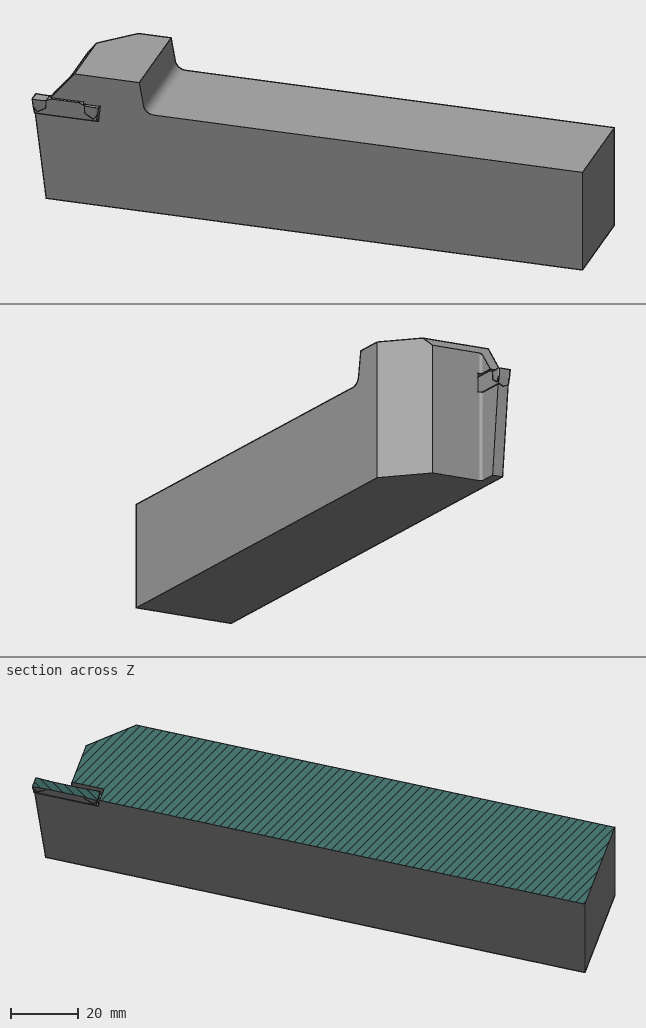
import cadquery as cq
import math

shank_size = 32.0
total_length = 170.0
head_top = 42.0
front_clearance = math.radians(7)
head_front_x = 13.1
head_front_angle = math.radians(50)
head_back_x = 33.1
head_back_lean = math.radians(10)
head_back_fillet = 3.2
blade_thickness = 3.4
shoulder_x = 11.0
shoulder_chamfer = 12.0
shoulder_fillet = 1.0
nose_setback = 0.4

cutting_height = shank_size
insert_length = 20.5
insert_bottom = 27.4
insert_width = blade_thickness
insert_top = 32.75
head_overhang = 0.31
cutter_length = 4.3
cutter_break_z = 29.6
cutter_toe_x = 0.75
cutter_flank_toe_x = 1.6
cutter_flank_toe_z = 28.0
ramp_end_x = 5.9
cutter_corner_radius = 0.3
cutter_land = 1.0
cutter_back_relief = 0.2
cutter_side_taper = 2.0
keel_width = 3.0
keel_depth = 0.6

seat_depth = 4.7
seat_end_bottom_x = 20.5
seat_end_top_x = 21.1
seat_roof = 33.2
seat_roof_rear = 32.5
seat_step_x = 15.9


def clearance_x(z):
    """X at height z on the clearance plane, leaning back from the cutting edge."""
    return (cutting_height - z) * math.tan(front_clearance)


def extrude_outline(points, y_from, y_to):
    """Solid between two Y planes with the given X-Z outline."""
    sketch = cq.Workplane("XZ", origin=(0, y_from, 0)).polyline(points).close()
    return sketch.extrude(y_from - y_to)


def mirrored(points):
    """The same X-Z points at the other end of the insert."""
    return [(insert_length - x, z) for x, z in points]


def make_holder():
    step_x = head_back_x + (head_top - shank_size) * math.tan(head_back_lean)
    lip_x = head_front_x - (head_top - cutting_height) / math.tan(head_front_angle)
    outline = [
        (nose_setback + clearance_x(0), 0),
        (total_length, 0),
        (total_length, shank_size),
        (step_x, shank_size),
        (head_back_x, head_top),
        (head_front_x, head_top),
        (lip_x, cutting_height),
        (nose_setback, cutting_height),
    ]
    body = extrude_outline(outline, 0, shank_size)
    step_edge = cq.selectors.NearestToPointSelector((step_x, shank_size / 2, shank_size))
    body = body.edges("|Y").edges(step_edge).fillet(head_back_fillet)
    return body.cut(make_shoulder_clearance()).cut(make_seat())


def make_shoulder_clearance():
    """Material removed behind the blade and across the chamfered rear corner."""
    margin = 1.0
    chamfer_start_y = shank_size - shoulder_chamfer
    corner = (
        cq.Workplane("XY")
        .moveTo(-margin, blade_thickness)
        .lineTo(shoulder_x - shoulder_fillet, blade_thickness)
        .radiusArc((shoulder_x, blade_thickness + shoulder_fillet), -shoulder_fillet)
        .lineTo(shoulder_x, chamfer_start_y)
        .lineTo(shoulder_x + shoulder_chamfer + margin, shank_size + margin)
        .lineTo(-margin, shank_size + margin)
        .close()
    )
    return corner.extrude(head_top)


def make_seat():
    """Slot for the insert, open at the front and on the -Y side."""
    outline = [
        (0, insert_bottom),
        (seat_end_bottom_x, insert_bottom),
        (seat_end_top_x, seat_roof_rear),
        (seat_step_x, seat_roof_rear),
        (seat_step_x, seat_roof),
        (0, seat_roof),
    ]
    return extrude_outline(outline, 0, seat_depth).union(make_keel(0, seat_end_bottom_x))


def make_keel(x_from, x_to):
    """V-shaped rib that centres the insert; the seat has the matching groove."""
    middle_y = insert_width / 2
    section = (
        cq.Workplane("YZ", origin=(x_from, 0, 0))
        .moveTo(middle_y - keel_width / 2, insert_bottom)
        .lineTo(middle_y, insert_bottom - keel_depth)
        .lineTo(middle_y + keel_width / 2, insert_bottom)
        .close()
    )
    return section.extrude(x_to - x_from)


def make_cutter():
    """Front cutting head: relieved behind and below its edge, with rounded front corners."""
    side_outline = [
        (cutter_flank_toe_x, cutter_flank_toe_z),
        (clearance_x(cutter_break_z), cutter_break_z),
        (0, cutting_height),
        (cutter_length, cutting_height),
        (cutter_length, cutter_break_z),
    ]
    edge_min_y = -head_overhang
    edge_max_y = insert_width + head_overhang
    side_block = extrude_outline(side_outline, edge_min_y, edge_max_y)
    plan = (
        cq.Workplane("XY", origin=(0, 0, cutting_height))
        .moveTo(0, edge_min_y)
        .lineTo(cutter_land, edge_min_y)
        .lineTo(cutter_length, edge_min_y + cutter_back_relief)
        .lineTo(cutter_length, edge_max_y - cutter_back_relief)
        .lineTo(cutter_land, edge_max_y)
        .lineTo(0, edge_max_y)
        .close()
        .extrude(cutter_flank_toe_z - cutting_height, taper=cutter_side_taper)
    )
    front_corners = cq.selectors.BoxSelector(
        (-cutter_corner_radius, edge_min_y, cutter_break_z + cutter_corner_radius),
        (cutter_corner_radius, edge_max_y, cutting_height - cutter_corner_radius),
    )
    return side_block.intersect(plan).edges(front_corners).fillet(cutter_corner_radius)


def make_insert():
    ramp = [
        (cutter_toe_x, insert_bottom),
        (clearance_x(cutter_break_z), cutter_break_z),
        (0, cutting_height),
        (cutter_length, cutting_height),
        (ramp_end_x, insert_top),
    ]
    body = extrude_outline(ramp + mirrored(ramp)[::-1], 0, insert_width)
    keel = make_keel(cutter_toe_x, insert_length - cutter_toe_x)
    front_cutter = make_cutter()
    rear_cutter = front_cutter.mirror("YZ").translate((insert_length, 0, 0))
    for feature in (keel, front_cutter, rear_cutter):
        body = body.union(feature)
    return body


holder = make_holder()
insert = make_insert()
result = cq.Compound.makeCompound([holder.val(), insert.val()])